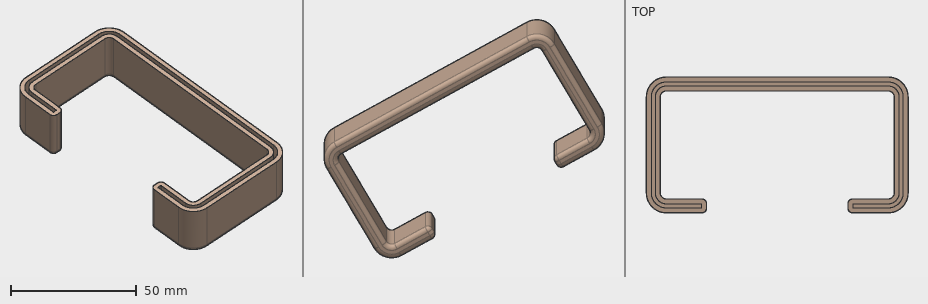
import cadquery as cq

length = 104.0
width = 54.0
height = 22.0

skin = 2.0
groove_width = 1.6
wall = 2 * skin + groove_width
floor = 2.0

corner_radius = 8.0
lip_length = 24.0
tip_radius = 2.0
bottom_radius = 2.0
mouth_width = length - 2 * lip_length


def rounded_block(inset, depth):
    """Block with rounded vertical edges, inset evenly from the outer outline."""
    return (
        cq.Workplane("XY")
        .rect(length - 2 * inset, width - 2 * inset)
        .extrude(depth)
        .edges("|Z")
        .fillet(corner_radius - inset)
    )


def c_band(outer_inset, inner_inset, tip_inset, depth):
    """C-shaped band between two insets, ending tip_inset short of the lip tips."""
    ring = rounded_block(outer_inset, depth).cut(rounded_block(inner_inset, depth))
    mouth_cutter = (
        cq.Workplane("XY")
        .center(0, -width / 2)
        .rect(mouth_width + 2 * tip_inset, 2 * corner_radius)
        .extrude(depth)
    )
    return ring.cut(mouth_cutter)


def make_body():
    """Solid C with rounded lip tips and a rounded bottom rim."""
    body = c_band(0, wall, 0, height)
    box_half_length = mouth_width / 2 + tip_radius
    tip_box = cq.selectors.BoxSelector(
        (-box_half_length, -width, 0), (box_half_length, 0, height)
    )
    body = body.edges("|Z").edges(tip_box).fillet(tip_radius)
    return body.faces("<Z").edges().fillet(bottom_radius)


def make_groove():
    """Groove cutter, open at the top and following the C midway through the wall."""
    groove = c_band(skin, skin + groove_width, skin, height - floor)
    return groove.translate((0, 0, floor))


result = make_body().cut(make_groove())